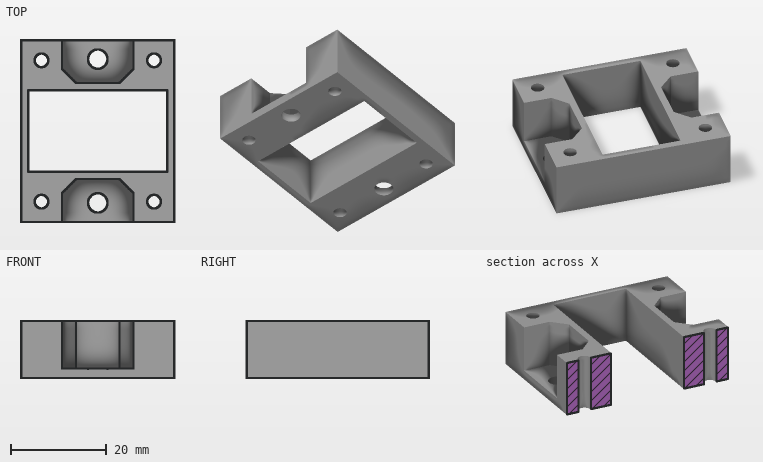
import cadquery as cq

length_x = 32.0
length_y = 38.0
height = 12.0

window_x = 29.0
window_y = 17.0

pocket_width = 15.0
pocket_depth = 9.0
pocket_corner = 3.0
pocket_floor = 2.0

corner_hole_diameter = 2.8
corner_hole_pitch_x = 23.5
corner_hole_pitch_y = 29.5
mount_hole_diameter = 4.0
mount_hole_pitch_y = 30.0


def make_block():
    """Plain block standing on Z = 0, centred in X and Y."""
    return cq.Workplane("XY").box(length_x, length_y, height, centered=(True, True, False))


def make_window():
    """Cutter for the central rectangular opening."""
    return cq.Workplane("XY").box(window_x, window_y, height, centered=(True, True, False))


def make_pocket(side):
    """Cutter for one pocket; side is -1 for the -Y side and +1 for the +Y side."""
    half_width = pocket_width / 2
    outer_y = side * length_y / 2
    inner_y = outer_y - side * pocket_depth
    corner_y = inner_y + side * pocket_corner
    outline = [
        (-half_width, outer_y),
        (-half_width, corner_y),
        (-half_width + pocket_corner, inner_y),
        (half_width - pocket_corner, inner_y),
        (half_width, corner_y),
        (half_width, outer_y),
    ]
    return (
        cq.Workplane("XY", origin=(0, 0, pocket_floor))
        .polyline(outline)
        .close()
        .extrude(height - pocket_floor)
    )


def make_corner_holes():
    """Cutters for the four holes near the block corners."""
    return (
        cq.Workplane("XY")
        .rarray(corner_hole_pitch_x, corner_hole_pitch_y, 2, 2)
        .circle(corner_hole_diameter / 2)
        .extrude(height)
    )


def make_mount_holes():
    """Cutters for the two holes through the pocket floors."""
    mount_y = mount_hole_pitch_y / 2
    return (
        cq.Workplane("XY")
        .pushPoints([(0, -mount_y), (0, mount_y)])
        .circle(mount_hole_diameter / 2)
        .extrude(height)
    )


result = make_block().cut(make_window())
for side in (-1, 1):
    result = result.cut(make_pocket(side))
result = result.cut(make_corner_holes()).cut(make_mount_holes())